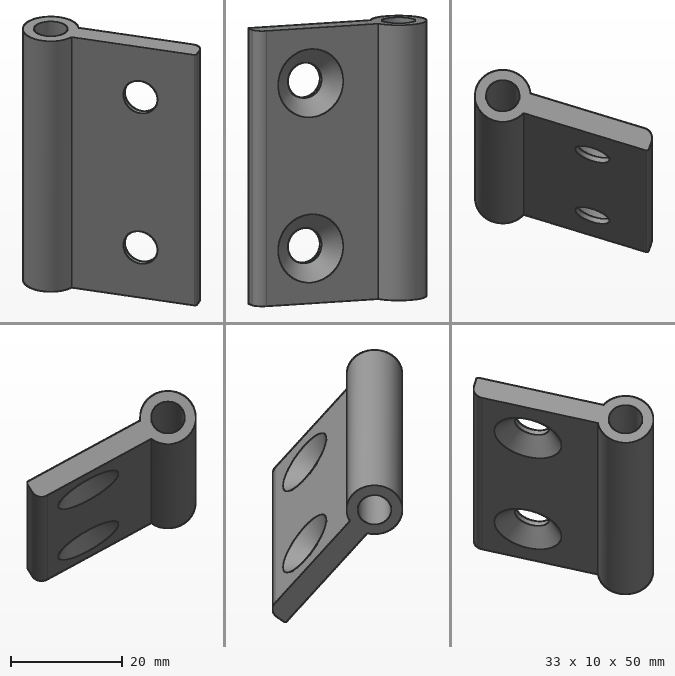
import cadquery as cq
import math

height = 50.0
barrel_radius = 5.0
pin_radius = 3.0

leaf_end = 28.0
leaf_thickness = 4.0
back_edge_radius = 2.0
front_edge_radius = 0.4

hole_diameter = 6.4
straight_depth = 1.0
countersink_angle = 90.0
hole_x = 17.5
hole_spacing = 30.0


def make_leaf():
    """Plate with its free end rounded, broadly at +Y and slightly at -Y."""
    leaf = cq.Workplane("XY").box(leaf_end, leaf_thickness, height, centered=(False, True, True))
    leaf = leaf.edges("|Z and >X and >Y").fillet(back_edge_radius)
    return leaf.edges("|Z and >X and <Y").fillet(front_edge_radius)


def make_screw_hole(z):
    """Hole along Y: straight at the -Y face, then flaring to the +Y face."""
    front_y = -leaf_thickness / 2
    back_y = leaf_thickness / 2
    hole_radius = hole_diameter / 2
    flare = (leaf_thickness - straight_depth) * math.tan(math.radians(countersink_angle / 2))
    half_section = (
        cq.Workplane("XY")
        .moveTo(0, front_y)
        .lineTo(hole_radius, front_y)
        .lineTo(hole_radius, front_y + straight_depth)
        .lineTo(hole_radius + flare, back_y)
        .lineTo(0, back_y)
        .close()
    )
    return half_section.revolve(360, (0, 0, 0), (0, 1, 0)).translate((hole_x, 0, z))


def make_cylinder(radius):
    """Full-height cylinder on the barrel axis."""
    return cq.Workplane("XY").circle(radius).extrude(height / 2, both=True)


hinge = make_cylinder(barrel_radius).union(make_leaf())
result = hinge.cut(make_cylinder(pin_radius))
for side in (-1, 1):
    result = result.cut(make_screw_hole(side * hole_spacing / 2))